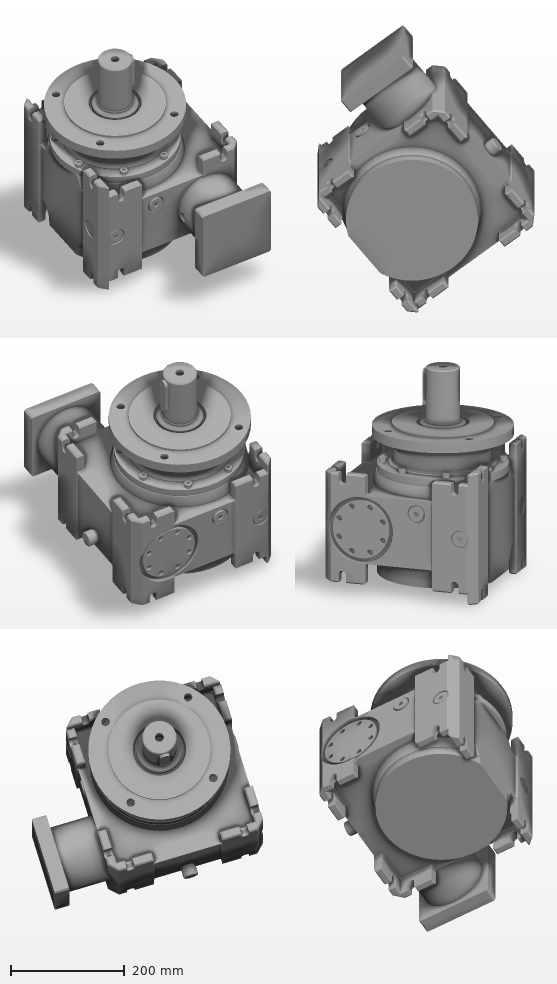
import cadquery as cq
import math

OVERLAP = 4.0

BODY_HALF_X = 140.0
BODY_FRONT_Y = -106.7
BODY_BACK_Y = 171.5
BODY_HALF_Z = 62.0

HUB_RADIUS = 116.0
HUB_NECK_RADIUS = 117.3
HUB_ROOT_RADIUS = 122.8
HUB_ROOT_Z = 63.5
HUB_CONE_END_Z = 83.0
HUB_TOP_Z = 97.0
HUB_BOTTOM_Z = -102.5

PAD_SIDE_X = -142.7
PAD_FRONT_Y = -111.0
PAD_BACK_Y = 174.0
PAD_THICKNESS = 15.5
FRONT_LEG_END_X = -76.2
BACK_LEG_END_X = -63.0
FRONT_SIDE_LEG_END_Y = -30.0
BACK_SIDE_LEG_END_Y = 95.0
PAD_CORNER = 15.5
PAD_HALF_Z = 100.0
FRONT_PLATE_HALF_Z = 120.0
PAD_CHAMFER = 2.7
FOOT_SIZE = 2.5

SLOT_WIDTH = 14.0
FRONT_SLOT_WIDTH = 13.0
SLOT_LENGTH = 22.0
FACE_SLOT_X = -105.0
FRONT_SIDE_SLOT_Y = -72.5
BACK_SIDE_SLOT_Y = 137.2

NECK_RADIUS = 87.5
NECK_BASE_RADIUS = 95.8
NECK_BASE_Z = 99.7
NECK_BASE_CHAMFER = 1.0
NECK_FILLET = 3.5
FLANGE_COLLAR_RADIUS = 90.5
FLANGE_COLLAR_CONE_Z = 142.0
FLANGE_COLLAR_Z = 143.5
FLANGE_BOTTOM_Z = 147.5
FLANGE_TOP_Z = 165.8
FLANGE_RADIUS = 125.0
PILOT_RADIUS = 90.0
PILOT_TOP_Z = 170.0
FLANGE_HOLE_DIAMETER = 15.0
FLANGE_HOLE_OFFSET = 76.0
SEAL_POCKET_RADIUS = 47.0
SEAL_POCKET_FLOOR_RADIUS = 44.0
SEAL_POCKET_FLOOR_Z = 160.5
SEAL_RADIUS = 41.0
SEAL_TOP_RADIUS = 38.7
SEAL_EDGE_Z = 169.3
SEAL_TOP_Z = 171.3
COLLAR_RADIUS = 31.5
COLLAR_TOP_Z = 174.5
SHAFT_RADIUS = 30.0
SHAFT_TOP_Z = 271.0
SHAFT_CHAMFER = 2.0
CENTER_HOLE_RADIUS = 8.0
CENTER_HOLE_DEPTH = 31.3
KEY_WIDTH = 18.0
KEY_BOTTOM_Z = 195.5
KEY_TOP_Z = 265.5
KEY_FACE_Y = 34.8
KEY_SEAT_Y = 23.5

BOLT_COUNT = 8
BOLT_CIRCLE_RADIUS = 107.0
BOLT_HEAD_DIAMETER = 13.0
BOLT_HEAD_HEIGHT = 8.0
BOLT_SOCKET_SIZE = 8.5
BOLT_SOCKET_DEPTH = 4.0

INPUT_Y = 103.5
COVER_POCKET_DIAMETER = 120.0
COVER_RADIUS = 52.5
COVER_POCKET_DEPTH = 10.0
COVER_HEIGHT = 7.0
COVER_HOLE_COUNT = 8
COVER_HOLE_CIRCLE_RADIUS = 44.0
COVER_HOLE_DIAMETER = 11.0
COVER_SCREW_DIAMETER = 8.0
COVER_HOLE_DEPTH = 8.0
COVER_SCREW_HEIGHT = 1.5
INPUT_RADIUS = 59.0
INPUT_FLANGE_X = 218.0
INPUT_END_X = 244.8
INPUT_FLANGE_SIZE = 140.0
INPUT_FLANGE_CHAMFER = 3.0
INPUT_PORT_X = 158.0
INPUT_PORT_DIAMETER = 18.0
INPUT_PORT_DEPTH = 11.7

PLUG_SEAT_DIAMETER = 33.0
PLUG_DIAMETER = 27.0
PLUG_SEAT_DEPTH = 3.0
PLUG_SOCKET_SIZE = 11.0
PLUG_SOCKET_DEPTH = 4.0
BODY_PLUG_Z = 38.0
BODY_PLUG_X = 142.0
PAD_PLUG_Y = -81.7
PAD_PLUG_RECESS = 1.0
FRONT_BLANK_X = 100.0
FRONT_BLANK_DEPTH = 1.5
BREATHER_Z = -38.0
BREATHER_HEAD_Y = 176.0
BREATHER_END_Y = 191.5
BREATHER_STEM_DIAMETER = 24.0
BREATHER_CHAMFER = 1.0


def cylinder_z(radius, bottom, top):
    return cq.Workplane("XY").workplane(offset=bottom).circle(radius).extrude(top - bottom)


def cylinder_x(radius, start, end, y, z):
    return cq.Workplane("YZ", origin=(start, y, z)).circle(radius).extrude(end - start)


def cylinder_y(radius, start, end, x, z):
    return cq.Workplane("XZ", origin=(x, start, z)).circle(radius).extrude(start - end)


def revolve_z(profile):
    """Turn a closed (radius, z) profile around the Z axis."""
    return cq.Workplane("XZ").polyline(profile).close().revolve(360, (0, 0), (0, 1))


def prism(outline, half_height):
    bottom = cq.Workplane("XY").workplane(offset=-half_height)
    return bottom.polyline(outline).close().extrude(2 * half_height)


def mirrored_pair(shape):
    return shape.union(shape.mirror("YZ"))


def around(count, radius):
    """Evenly spaced points on a circle, starting half a step from the axis."""
    angles = [math.pi * (2 * i + 1) / count for i in range(count)]
    return [(radius * math.cos(a), radius * math.sin(a)) for a in angles]


def block_of_height(half_height):
    """Housing block footprint with cut corners, centred on Z = 0."""
    block = cq.Workplane("XY").box(
        2 * BODY_HALF_X, BODY_BACK_Y - BODY_FRONT_Y, 2 * half_height, centered=(True, False, True)
    )
    return block.edges("|Z").chamfer(PAD_CORNER).translate((0, BODY_FRONT_Y, 0))


def housing():
    block = block_of_height(BODY_HALF_Z)
    hub = revolve_z([
        (0, HUB_BOTTOM_Z),
        (HUB_RADIUS, HUB_BOTTOM_Z),
        (HUB_RADIUS, -HUB_CONE_END_Z),
        (HUB_NECK_RADIUS, -HUB_CONE_END_Z),
        (HUB_ROOT_RADIUS, -HUB_ROOT_Z),
        (HUB_ROOT_RADIUS, HUB_ROOT_Z),
        (HUB_NECK_RADIUS, HUB_CONE_END_Z),
        (0, HUB_CONE_END_Z),
    ])
    in_front = cq.Workplane("XY").box(
        2 * HUB_ROOT_RADIUS, HUB_ROOT_RADIUS, 4 * PAD_HALF_Z, centered=(True, False, True)
    ).translate((0, BODY_FRONT_Y - HUB_ROOT_RADIUS, 0))
    top = cylinder_z(HUB_RADIUS, HUB_CONE_END_Z, HUB_TOP_Z)
    return block.union(hub.cut(in_front)).union(top)


def pad_outline(face_y, leg_end_x, leg_end_y, inward):
    """L-shaped footprint; inward is +1 for a front pad and -1 for a back pad."""
    inner_x = PAD_SIDE_X + PAD_THICKNESS
    inner_y = face_y + inward * PAD_THICKNESS
    return [
        (leg_end_x, face_y),
        (leg_end_x, inner_y),
        (inner_x, inner_y),
        (inner_x, leg_end_y),
        (PAD_SIDE_X, leg_end_y),
        (PAD_SIDE_X, face_y + inward * PAD_CORNER),
        (PAD_SIDE_X + PAD_CORNER, face_y),
    ]


def front_plate():
    """Taller front strip of a front pad, with its rear edges chamfered."""
    back_y = PAD_FRONT_Y + PAD_THICKNESS
    outline = [
        (FRONT_LEG_END_X, PAD_FRONT_Y),
        (FRONT_LEG_END_X, back_y),
        (PAD_SIDE_X, back_y),
        (PAD_SIDE_X + PAD_CORNER, PAD_FRONT_Y),
    ]
    return prism(outline, FRONT_PLATE_HALF_Z).faces("|Z or >Y").chamfer(PAD_CHAMFER)


def pad_foot(outline):
    """Sloped foot where a pad meets the top, bottom and side faces of the block."""
    sheet = cq.Workplane("XY").workplane(offset=BODY_HALF_Z - OVERLAP)
    sheet = sheet.polyline(outline).close().offset2D(FOOT_SIZE + OVERLAP, "intersection")
    slope = sheet.extrude(FOOT_SIZE + OVERLAP, taper=45)
    slope = slope.intersect(block_of_height(2 * BODY_HALF_Z))
    return slope.union(slope.mirror("XY"))


def leg_end_wedges(face_y, body_y, leg_end_x, leg_end_y, inward):
    """Sloped strips closing the steps between the leg ends and the block faces."""
    face_wedge = [
        (leg_end_x - OVERLAP, face_y),
        (leg_end_x, face_y),
        (leg_end_x + FOOT_SIZE, body_y),
        (leg_end_x + FOOT_SIZE, body_y + inward * OVERLAP),
        (leg_end_x - OVERLAP, body_y + inward * OVERLAP),
    ]
    side_wedge = [
        (PAD_SIDE_X, leg_end_y - inward * OVERLAP),
        (PAD_SIDE_X, leg_end_y),
        (-BODY_HALF_X, leg_end_y + inward * FOOT_SIZE),
        (-BODY_HALF_X + OVERLAP, leg_end_y + inward * FOOT_SIZE),
        (-BODY_HALF_X + OVERLAP, leg_end_y - inward * OVERLAP),
    ]
    return prism(face_wedge, BODY_HALF_Z).union(prism(side_wedge, BODY_HALF_Z))


def slot_pair(width, half_height, through_x, x, y):
    """Round-ended slots at both pad ends, running through along X or along Y."""
    plane = "YZ" if through_x else "XZ"
    radius = width / 2
    axis_z = half_height - SLOT_LENGTH + radius
    cutter = cq.Workplane(plane).moveTo(-radius, half_height + OVERLAP)
    cutter = cutter.lineTo(-radius, axis_z)
    cutter = cutter.threePointArc((0, axis_z - radius), (radius, axis_z))
    cutter = cutter.lineTo(radius, half_height + OVERLAP).close()
    cutter = cutter.extrude(PAD_THICKNESS / 2 + OVERLAP / 2, both=True)
    cutter = cutter.translate((x, y, 0))
    return cutter.union(cutter.mirror("XY"))


def left_pads():
    side_mid_x = PAD_SIDE_X + PAD_THICKNESS / 2
    front = pad_outline(PAD_FRONT_Y, FRONT_LEG_END_X, FRONT_SIDE_LEG_END_Y, 1)
    back = pad_outline(PAD_BACK_Y, BACK_LEG_END_X, BACK_SIDE_LEG_END_Y, -1)
    pads = prism(front, PAD_HALF_Z).faces("|Z").chamfer(PAD_CHAMFER).union(front_plate())
    pads = pads.union(prism(back, PAD_HALF_Z).faces("|Z").chamfer(PAD_CHAMFER))
    pads = pads.union(pad_foot(front)).union(pad_foot(back))
    pads = pads.union(
        leg_end_wedges(PAD_FRONT_Y, BODY_FRONT_Y, FRONT_LEG_END_X, FRONT_SIDE_LEG_END_Y, 1)
    )
    pads = pads.union(
        leg_end_wedges(PAD_BACK_Y, BODY_BACK_Y, BACK_LEG_END_X, BACK_SIDE_LEG_END_Y, -1)
    )
    for y in (FRONT_SIDE_SLOT_Y, BACK_SIDE_SLOT_Y):
        pads = pads.cut(slot_pair(SLOT_WIDTH, PAD_HALF_Z, True, side_mid_x, y))
    front_mid_y = PAD_FRONT_Y + PAD_THICKNESS / 2
    back_mid_y = PAD_BACK_Y - PAD_THICKNESS / 2
    pads = pads.cut(slot_pair(FRONT_SLOT_WIDTH, FRONT_PLATE_HALF_Z, False, FACE_SLOT_X, front_mid_y))
    return pads.cut(slot_pair(SLOT_WIDTH, PAD_HALF_Z, False, FACE_SLOT_X, back_mid_y))


def neck_base():
    """Ring at the foot of the neck, blended into it with a concave fillet."""
    fillet_top_z = NECK_BASE_Z + NECK_FILLET
    fillet_end_radius = NECK_RADIUS + NECK_FILLET
    ring = (
        cq.Workplane("XZ").moveTo(0, HUB_TOP_Z - OVERLAP)
        .lineTo(NECK_BASE_RADIUS, HUB_TOP_Z - OVERLAP)
        .lineTo(NECK_BASE_RADIUS, NECK_BASE_Z - NECK_BASE_CHAMFER)
        .lineTo(NECK_BASE_RADIUS - NECK_BASE_CHAMFER, NECK_BASE_Z)
        .lineTo(fillet_end_radius, NECK_BASE_Z)
        .tangentArcPoint((NECK_RADIUS, fillet_top_z), relative=False)
        .lineTo(0, fillet_top_z).close()
    )
    return ring.revolve(360, (0, 0), (0, 1))


def output_neck():
    neck = revolve_z([
        (0, HUB_TOP_Z - OVERLAP),
        (NECK_RADIUS, HUB_TOP_Z - OVERLAP),
        (NECK_RADIUS, FLANGE_COLLAR_CONE_Z),
        (FLANGE_COLLAR_RADIUS, FLANGE_COLLAR_Z),
        (FLANGE_COLLAR_RADIUS, FLANGE_BOTTOM_Z),
        (FLANGE_RADIUS, FLANGE_BOTTOM_Z),
        (FLANGE_RADIUS, FLANGE_TOP_Z),
        (PILOT_RADIUS, FLANGE_TOP_Z),
        (PILOT_RADIUS, PILOT_TOP_Z),
        (SEAL_POCKET_RADIUS, PILOT_TOP_Z),
        (SEAL_POCKET_FLOOR_RADIUS, SEAL_POCKET_FLOOR_Z),
        (SEAL_RADIUS, SEAL_POCKET_FLOOR_Z),
        (SEAL_RADIUS, SEAL_EDGE_Z),
        (SEAL_TOP_RADIUS, SEAL_TOP_Z),
        (0, SEAL_TOP_Z),
    ])
    side = 2 * FLANGE_HOLE_OFFSET
    holes = (
        cq.Workplane("XY").workplane(offset=FLANGE_BOTTOM_Z)
        .rect(side, side, forConstruction=True).vertices()
        .circle(FLANGE_HOLE_DIAMETER / 2).extrude(FLANGE_TOP_Z - FLANGE_BOTTOM_Z)
    )
    return neck.cut(holes)


def output_shaft():
    hole_floor_z = SHAFT_TOP_Z - CENTER_HOLE_DEPTH
    shaft = revolve_z([
        (0, SEAL_TOP_Z - OVERLAP),
        (COLLAR_RADIUS, SEAL_TOP_Z - OVERLAP),
        (COLLAR_RADIUS, COLLAR_TOP_Z),
        (SHAFT_RADIUS, COLLAR_TOP_Z),
        (SHAFT_RADIUS, SHAFT_TOP_Z - SHAFT_CHAMFER),
        (SHAFT_RADIUS - SHAFT_CHAMFER, SHAFT_TOP_Z),
        (CENTER_HOLE_RADIUS, SHAFT_TOP_Z),
        (CENTER_HOLE_RADIUS, hole_floor_z),
        (0, hole_floor_z - CENTER_HOLE_RADIUS),
    ])
    key = (
        cq.Workplane("XZ", origin=(0, KEY_FACE_Y, (KEY_BOTTOM_Z + KEY_TOP_Z) / 2))
        .slot2D(KEY_TOP_Z - KEY_BOTTOM_Z, KEY_WIDTH, 90).extrude(KEY_FACE_Y - KEY_SEAT_Y)
    )
    return shaft.union(key)


def neck_bolts():
    points = around(BOLT_COUNT, BOLT_CIRCLE_RADIUS)
    top_z = HUB_TOP_Z + BOLT_HEAD_HEIGHT
    heads = (
        cq.Workplane("XY").workplane(offset=HUB_TOP_Z - OVERLAP).pushPoints(points)
        .circle(BOLT_HEAD_DIAMETER / 2).extrude(OVERLAP + BOLT_HEAD_HEIGHT)
    )
    sockets = (
        cq.Workplane("XY").workplane(offset=top_z).pushPoints(points)
        .polygon(6, BOLT_SOCKET_SIZE).extrude(-BOLT_SOCKET_DEPTH)
    )
    return heads.cut(sockets)


def add_bearing_cover(body):
    """Round pocket in the -X face with the bearing cover standing on its floor."""
    floor_x = PAD_SIDE_X + COVER_POCKET_DEPTH
    cover_x = floor_x - COVER_HEIGHT
    body = body.cut(cylinder_x(COVER_POCKET_DIAMETER / 2, PAD_SIDE_X - OVERLAP, floor_x, INPUT_Y, 0))
    body = body.union(cylinder_x(COVER_RADIUS, cover_x, floor_x + OVERLAP, INPUT_Y, 0))
    for dy, z in around(COVER_HOLE_COUNT, COVER_HOLE_CIRCLE_RADIUS):
        y = INPUT_Y + dy
        hole_floor_x = cover_x + COVER_HOLE_DEPTH
        screw_x = hole_floor_x - COVER_SCREW_HEIGHT
        body = body.cut(cylinder_x(COVER_HOLE_DIAMETER / 2, cover_x, hole_floor_x, y, z))
        body = body.union(cylinder_x(COVER_SCREW_DIAMETER / 2, screw_x, hole_floor_x + OVERLAP, y, z))
    return body


def input_housing():
    start_x = BODY_HALF_X - OVERLAP
    barrel = cylinder_x(INPUT_RADIUS, start_x, INPUT_FLANGE_X + OVERLAP, INPUT_Y, 0)
    flange = (
        cq.Workplane("YZ", origin=(INPUT_FLANGE_X, INPUT_Y, 0))
        .rect(INPUT_FLANGE_SIZE, INPUT_FLANGE_SIZE).extrude(INPUT_END_X - INPUT_FLANGE_X)
        .edges("|X").chamfer(INPUT_FLANGE_CHAMFER)
    )
    front_y = INPUT_Y - INPUT_RADIUS
    port = cylinder_y(
        INPUT_PORT_DIAMETER / 2, front_y - OVERLAP, front_y + INPUT_PORT_DEPTH, INPUT_PORT_X, 0
    )
    return barrel.union(flange).cut(port)


def add_side_plugs(body, face_x, head_x, y, z):
    """Hexagon socket plugs in round seats, one on each X side."""
    floor_x = face_x - PLUG_SEAT_DEPTH
    seat = cylinder_x(PLUG_SEAT_DIAMETER / 2, floor_x, head_x + OVERLAP, y, z)
    plug = cylinder_x(PLUG_DIAMETER / 2, floor_x - OVERLAP, head_x, y, z)
    socket = cq.Workplane("YZ", origin=(head_x, y, z)).polygon(6, PLUG_SOCKET_SIZE)
    plug = plug.cut(socket.extrude(-PLUG_SOCKET_DEPTH))
    return body.cut(mirrored_pair(seat)).union(mirrored_pair(plug))


def front_blank():
    """Shallow round recess in the front of the +X pad."""
    floor_y = PAD_FRONT_Y + FRONT_BLANK_DEPTH
    return cylinder_y(PLUG_SEAT_DIAMETER / 2, PAD_FRONT_Y - OVERLAP, floor_y, FRONT_BLANK_X, 0)


def breather():
    stem = cylinder_y(
        BREATHER_STEM_DIAMETER / 2, BODY_BACK_Y - OVERLAP, BREATHER_HEAD_Y, 0, BREATHER_Z
    )
    head = cylinder_y(PLUG_DIAMETER / 2, BREATHER_HEAD_Y, BREATHER_END_Y, 0, BREATHER_Z)
    return stem.union(head.faces(">Y").chamfer(BREATHER_CHAMFER))


result = housing().union(mirrored_pair(left_pads()))
result = result.union(neck_base()).union(output_neck()).union(output_shaft()).union(neck_bolts())
result = add_bearing_cover(result)
result = add_side_plugs(result, BODY_HALF_X, BODY_PLUG_X, 0, BODY_PLUG_Z)
result = add_side_plugs(result, -PAD_SIDE_X, -PAD_SIDE_X - PAD_PLUG_RECESS, PAD_PLUG_Y, 0)
result = result.cut(front_blank())
result = result.union(input_housing()).union(breather())